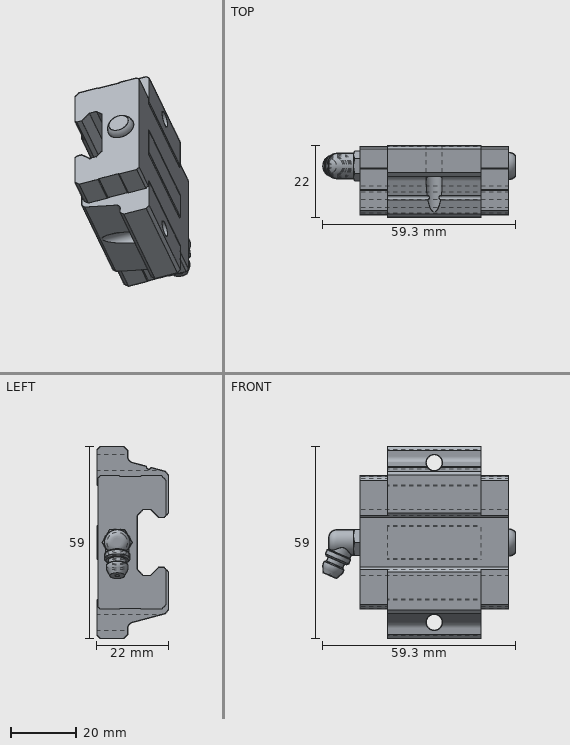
import cadquery as cq
import math


block_length = 28.8
block_depth = 22.0
block_half_width = 29.5
back_chamfer = 1.0
flange_depth = 9.5
flange_chamfer = 1.2
flank_angle = math.radians(15)
flank_root_height = 24.95
flank_root_radius = 1.85
edge_pick_margin = 0.1
shoulder_depth = 21.0
shoulder_drop = 1.2
flank_groove_depth = 15.95
flank_groove_radius = 0.7

recess_depth = 0.3
recess_inner_height = 4.95
recess_outer_height = 17.7

hole_diameter = 4.92
hole_height = 24.5

cap_length = 8.45
cap_back_depth = 0.3
cap_front_depth = 21.25
cap_half_width = 20.5
cap_back_chamfer = 0.8
cap_front_chamfer = 1.4
cap_step_depth = 6.8
cap_step_end_depth = 13.7
cap_step_height = 0.2
cap_step_slope = 0.3

channel_floor_depth = 12.45
channel_floor_half_width = 8.25
pocket_start_depth = 14.2
pocket_end_depth = 16.5
pocket_half_width = 10.1
lip_half_width = 7.6
lip_start_depth = pocket_end_depth + pocket_half_width - lip_half_width
lip_chamfer = 1.4

port_depth = 6.25
end_face_x = block_length / 2 + cap_length
plug_radius = 4.2
plug_end_radius = 3.15
plug_height = 2.15

hex_across_flats = 8.0
hex_height = 1.95
hex_chamfer_angle = math.radians(30)
body_radius = 3.925
body_length = 9.57
body_fillet = 2.5

nozzle_elbow = 4.8
nozzle_angle = 23.5
root_radius = 3.6
collar_radius = 3.925
collar_start = 3.8
collar_end = 6.0
collar_chamfer = 0.3
collar_under_chamfer = 0.5
neck_radius = 2.75
head_start = 7.35
head_radius = 3.3
head_chamfer = 0.4
head_bulge_station = 8.4
head_bulge_radius = 3.36
head_cone_station = 9.85
head_cone_radius = 2.85
head_end = 11.1
head_end_radius = 2.25
ball_seat_radius = 0.7
ball_seat_depth = 0.5


def extrude_profile(points, length):
    """Extrude (depth, height) points along X, centred on X = 0."""
    return (
        cq.Workplane("YZ")
        .polyline([(-depth, height) for depth, height in points])
        .close()
        .extrude(length / 2, both=True)
    )


def mirrored(upper):
    """Close an upper half outline with its mirror image below the mid-plane."""
    lower = [(depth, -height) for depth, height in reversed(upper)]
    return upper + lower


def flank_height(depth):
    return flank_root_height - (depth - flange_depth) * math.tan(flank_angle)


def make_block():
    shoulder_height = flank_height(shoulder_depth)
    outline = mirrored([
        (0, block_half_width - back_chamfer),
        (back_chamfer, block_half_width),
        (flange_depth - flange_chamfer, block_half_width),
        (flange_depth, block_half_width - flange_chamfer),
        (flange_depth, flank_root_height),
        (shoulder_depth, shoulder_height),
        (block_depth, shoulder_height - shoulder_drop),
    ])
    block = extrude_profile(outline, block_length)
    for side in (-1, 1):
        height = side * flank_root_height
        corner = cq.selectors.BoxSelector(
            (-block_length, -flange_depth - edge_pick_margin, height - edge_pick_margin),
            (block_length, -flange_depth + edge_pick_margin, height + edge_pick_margin),
        )
        block = block.edges("|X").edges(corner).fillet(flank_root_radius)
    return block


def cut_flank_groove(block):
    """Small round groove along the upper flank only."""
    groove = (
        cq.Workplane("YZ")
        .center(-flank_groove_depth, flank_height(flank_groove_depth))
        .circle(flank_groove_radius)
        .extrude(block_length / 2, both=True)
    )
    return block.cut(groove)


def cut_back_recesses(block):
    for side in (-1, 1):
        recess = extrude_profile(
            [
                (0, side * recess_inner_height),
                (0, side * recess_outer_height),
                (recess_depth, side * (recess_outer_height - recess_depth)),
                (recess_depth, side * (recess_inner_height + recess_depth)),
            ],
            block_length,
        )
        block = block.cut(recess)
    return block


def cut_mounting_holes(block):
    for side in (-1, 1):
        drill = cq.Solid.makeCylinder(
            hole_diameter / 2,
            block_depth,
            cq.Vector(0, 0, side * hole_height),
            cq.Vector(0, -1, 0),
        )
        block = block.cut(cq.Workplane(obj=drill))
    return block


def make_caps():
    """Both end caps as one bar that also runs through the block."""
    step_half_width = cap_half_width - cap_step_height
    outline = mirrored([
        (cap_back_depth, cap_half_width - cap_back_chamfer),
        (cap_back_depth + cap_back_chamfer, cap_half_width),
        (cap_step_depth, cap_half_width),
        (cap_step_depth + cap_step_slope, step_half_width),
        (cap_step_end_depth - cap_step_slope, step_half_width),
        (cap_step_end_depth, cap_half_width),
        (cap_front_depth - cap_front_chamfer, cap_half_width),
        (cap_front_depth, cap_half_width - cap_front_chamfer),
    ])
    return extrude_profile(outline, 2 * end_face_x)


def make_channel():
    outline = mirrored([
        (channel_floor_depth, channel_floor_half_width),
        (pocket_start_depth, pocket_half_width),
        (pocket_end_depth, pocket_half_width),
        (lip_start_depth, lip_half_width),
        (block_depth - lip_chamfer, lip_half_width),
        (block_depth, lip_half_width + lip_chamfer),
    ])
    return extrude_profile(outline, 2 * end_face_x)


def make_plug():
    """Domed plug on the +X end cap, turned about its own axis."""
    radial_drop = plug_radius - plug_end_radius
    dome_radius = (plug_height**2 + radial_drop**2) / (2 * radial_drop)
    half_angle = math.asin(plug_height / dome_radius) / 2
    dome_mid = (
        dome_radius * math.sin(half_angle),
        plug_radius - dome_radius * (1 - math.cos(half_angle)),
    )
    return (
        cq.Workplane("XY")
        .lineTo(0, plug_radius)
        .threePointArc(dome_mid, (plug_height, plug_end_radius))
        .lineTo(plug_height, 0)
        .close()
        .revolve(360, (0, 0), (1, 0))
        .translate((end_face_x, -port_depth, 0))
    )


def make_nipple_body():
    """Chamfered hexagon and round body, standing on YZ and pointing along -X."""
    corner_radius = hex_across_flats / 2 / math.cos(math.pi / 6)
    chamfer_height = (corner_radius - body_radius) * math.tan(hex_chamfer_angle)
    hexagon = (
        cq.Workplane("YZ")
        .polygon(6, 2 * corner_radius)
        .extrude(-hex_height)
    )
    chamfer_envelope = (
        cq.Workplane("XY")
        .lineTo(0, corner_radius)
        .lineTo(-hex_height + chamfer_height, corner_radius)
        .lineTo(-hex_height, body_radius)
        .lineTo(-hex_height, 0)
        .close()
        .revolve(360, (0, 0), (1, 0))
    )
    body = (
        cq.Workplane("YZ")
        .circle(body_radius)
        .extrude(-body_length)
        .faces("<X")
        .edges()
        .fillet(body_fillet)
    )
    return hexagon.intersect(chamfer_envelope).union(body)


def make_nozzle():
    """Turned nozzle with collar, neck and coupling head, tilted about the elbow."""
    profile = (
        cq.Workplane("XZ")
        .lineTo(root_radius, 0)
        .lineTo(root_radius, -collar_start)
        .lineTo(collar_radius - collar_chamfer, -collar_start)
        .lineTo(collar_radius, -collar_start - collar_chamfer)
        .lineTo(collar_radius, -collar_end + collar_under_chamfer)
        .lineTo(collar_radius - collar_under_chamfer, -collar_end)
        .lineTo(neck_radius, -collar_end)
        .lineTo(neck_radius, -head_start)
        .lineTo(head_radius, -head_start - head_chamfer)
        .threePointArc(
            (head_bulge_radius, -head_bulge_station),
            (head_cone_radius, -head_cone_station),
        )
        .lineTo(head_end_radius, -head_end)
        .lineTo(ball_seat_radius, -head_end)
        .lineTo(0, -head_end + ball_seat_depth)
        .close()
    )
    return (
        profile.revolve(360, (0, 0), (0, 1))
        .rotate((0, 0, 0), (0, 1, 0), nozzle_angle)
        .translate((-nozzle_elbow, 0, 0))
    )


def make_nipple():
    nipple = make_nipple_body().union(make_nozzle())
    return nipple.translate((-end_face_x, -port_depth, 0))


block = make_block()
block = cut_flank_groove(block)
block = cut_back_recesses(block)
block = cut_mounting_holes(block)

carriage = block.union(make_caps()).cut(make_channel())
result = carriage.union(make_plug()).union(make_nipple())